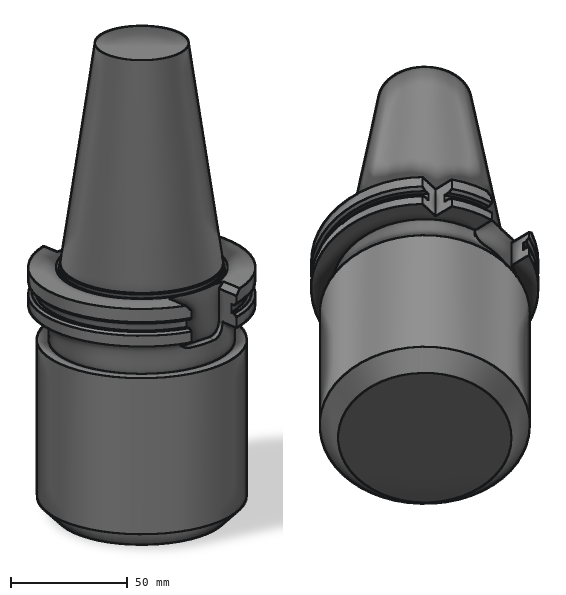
import cadquery as cq

total_height = 216.5
nose_chamfer_height = 8.0
body_top = 80.0
flange_bottom = 96.0
groove_lower_edge = 101.0
groove_floor_bottom = 102.0
groove_floor_top = 106.0
groove_upper_edge = 107.2
flange_top = 113.3
relief_top = 114.4
taper_base = 115.2

nose_diameter = 74.3
body_diameter = 90.0
neck_diameter = 80.0
flange_diameter = 97.5
groove_mouth_diameter = 94.5
groove_diameter = 91.0
relief_diameter = 69.3
recess_mouth_diameter = 73.6
recess_floor_diameter = 71.3
taper_base_diameter = 70.0
taper_tip_diameter = 40.3

recess_depth = 0.6

slot_width = 25.5
slot_bottom = 89.7
slot_mouth_chamfer = 2.5
left_slot_floor = 37.5
left_slot_radius = 5.2
right_slot_floor = 35.5
right_slot_radius = 5.8

notch_offset = 29.7


def turned_body():
    """Revolve the nose, body, neck, grooved flange and taper."""
    recess_floor = flange_top - recess_depth
    profile = [
        (0, 0),
        (nose_diameter / 2, 0),
        (body_diameter / 2, nose_chamfer_height),
        (body_diameter / 2, body_top),
        (neck_diameter / 2, body_top),
        (neck_diameter / 2, flange_bottom),
        (flange_diameter / 2, flange_bottom),
        (flange_diameter / 2, groove_lower_edge),
        (groove_mouth_diameter / 2, groove_floor_bottom),
        (groove_diameter / 2, groove_floor_bottom),
        (groove_diameter / 2, groove_floor_top),
        (groove_mouth_diameter / 2, groove_floor_top),
        (flange_diameter / 2, groove_upper_edge),
        (flange_diameter / 2, flange_top),
        (recess_mouth_diameter / 2, flange_top),
        (recess_floor_diameter / 2, recess_floor),
        (relief_diameter / 2, recess_floor),
        (relief_diameter / 2, relief_top),
        (taper_base_diameter / 2, taper_base),
        (taper_tip_diameter / 2, total_height),
        (0, total_height),
    ]
    return cq.Workplane("XZ").polyline(profile).close().revolve(360, (0, 0), (0, 1))


def drive_slot(side, floor, corner_radius):
    """Cutter for one slot; side is -1 for -X and +1 for +X."""
    half = slot_width / 2
    mouth_half = half + slot_mouth_chamfer
    depth = flange_diameter / 2 - floor
    return (
        cq.Workplane("YZ", origin=(side * floor, 0, 0))
        .moveTo(-half + corner_radius, slot_bottom)
        .lineTo(half - corner_radius, slot_bottom)
        .radiusArc((half, slot_bottom + corner_radius), -corner_radius)
        .lineTo(half, flange_top - slot_mouth_chamfer)
        .lineTo(mouth_half, flange_top)
        .lineTo(-mouth_half, flange_top)
        .lineTo(-half, flange_top - slot_mouth_chamfer)
        .lineTo(-half, slot_bottom + corner_radius)
        .radiusArc((-half + corner_radius, slot_bottom), -corner_radius)
        .close()
        .extrude(side * depth)
    )


def corner_notch():
    """Cutter for the flange corner toward -X and +Y."""
    size = flange_diameter / 2 - notch_offset
    height = flange_top - flange_bottom
    corner = cq.Workplane("XY").box(size, size, height, centered=False)
    return corner.translate((-flange_diameter / 2, notch_offset, flange_bottom))


result = (
    turned_body()
    .cut(drive_slot(-1, left_slot_floor, left_slot_radius))
    .cut(drive_slot(1, right_slot_floor, right_slot_radius))
    .cut(corner_notch())
)